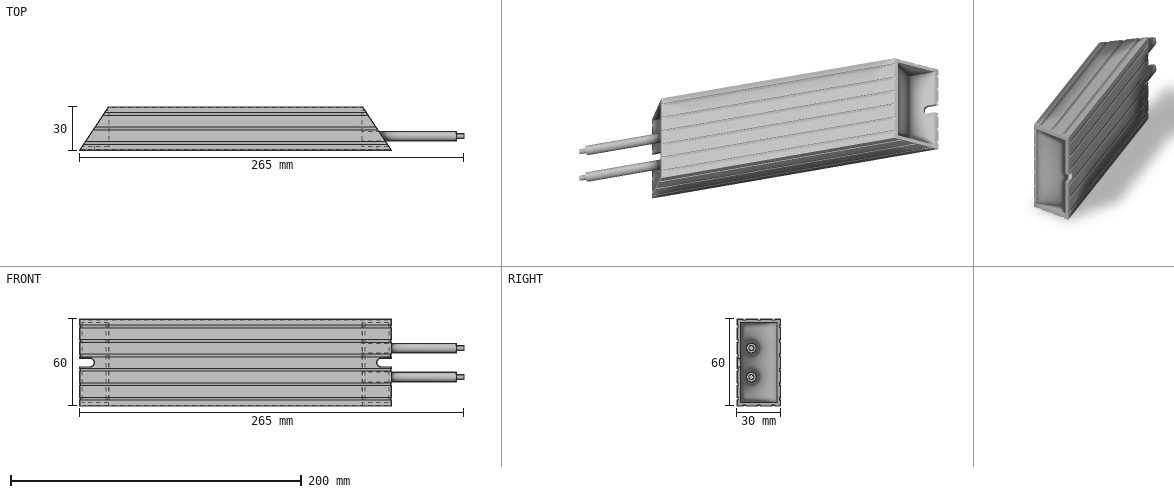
import cadquery as cq

TOTAL_LENGTH = 265.0
DEPTH = 30.0
HEIGHT = 60.0

HOUSING_LENGTH = 215.0
END_INSET = 20.0
WALL = 2.5

FILL_INSET = 20.5

GROOVE_PITCH = HEIGHT / 6
GROOVE_WIDTH = 2.0
GROOVE_DEPTH = 0.5

SLOT_WIDTH = 5.8
SLOT_LENGTH = 10.0

LEAD_SPACING = 2 * GROOVE_PITCH
LEAD_DIAMETER = 6.5
LEAD_Y = 9.8
WIRE_DIAMETER = 3.5
WIRE_LENGTH = 5.3

MID_Y = DEPTH / 2


def bar_along_x(length, depth, height, y=MID_Y, z=0.0):
    """Box starting at X = 0, centred on the given Y and Z."""
    return (
        cq.Workplane("XY")
        .box(length, depth, height, centered=(False, True, True))
        .translate((0, y, z))
    )


def make_housing():
    """Tube whose slanted ends make it shorter at the rear face."""
    outline = [
        (0, 0),
        (HOUSING_LENGTH, 0),
        (HOUSING_LENGTH - END_INSET, DEPTH),
        (END_INSET, DEPTH),
    ]
    block = cq.Workplane("XY").polyline(outline).close().extrude(HEIGHT / 2, both=True)
    bore = bar_along_x(HOUSING_LENGTH, DEPTH - 2 * WALL, HEIGHT - 2 * WALL)
    return block.cut(bore)


def cut_grooves(body):
    tool_depth = 2 * GROOVE_DEPTH
    for pitches in (-2.5, -1.5, -0.5, 0.5, 1.5, 2.5):
        z = pitches * GROOVE_PITCH
        for y in (0, DEPTH):
            body = body.cut(bar_along_x(HOUSING_LENGTH, tool_depth, GROOVE_WIDTH, y, z))

    for pitches in (-1, 0, 1):
        y = MID_Y + pitches * GROOVE_PITCH
        for z in (-HEIGHT / 2, HEIGHT / 2):
            body = body.cut(bar_along_x(HOUSING_LENGTH, GROOVE_WIDTH, tool_depth, y, z))
    return body


def cut_mounting_slots(body):
    for x in (0, HOUSING_LENGTH):
        slot = (
            cq.Workplane("XZ")
            .center(x, 0)
            .slot2D(2 * SLOT_LENGTH, SLOT_WIDTH)
            .extrude(-WALL)
        )
        body = body.cut(slot)
    return body


def make_fill():
    length = HOUSING_LENGTH - 2 * FILL_INSET
    return bar_along_x(length, DEPTH - 2 * WALL, HEIGHT - 2 * WALL).translate((FILL_INSET, 0, 0))


def make_lead(z):
    """Insulated lead with a bare wire tip, starting at the end of the filling."""
    start = HOUSING_LENGTH - FILL_INSET
    sleeve_end = TOTAL_LENGTH - WIRE_LENGTH
    half_profile = [
        (start, 0),
        (start, LEAD_DIAMETER / 2),
        (sleeve_end, LEAD_DIAMETER / 2),
        (sleeve_end, WIRE_DIAMETER / 2),
        (TOTAL_LENGTH, WIRE_DIAMETER / 2),
        (TOTAL_LENGTH, 0),
    ]
    return (
        cq.Workplane("XZ", origin=(0, LEAD_Y, z))
        .polyline(half_profile)
        .close()
        .revolve(360, (0, 0), (1, 0))
    )


result = cut_mounting_slots(cut_grooves(make_housing())).union(make_fill())
for lead_z in (-LEAD_SPACING / 2, LEAD_SPACING / 2):
    result = result.union(make_lead(lead_z))